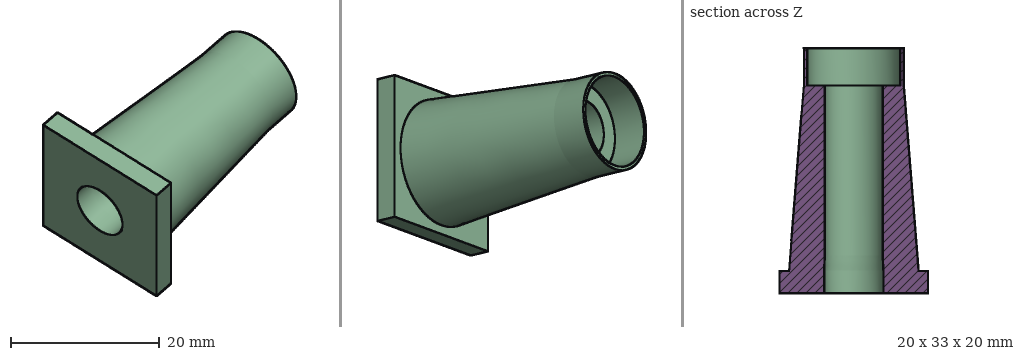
import cadquery as cq

total_length = 33.0
flange_side = 20.0
flange_thickness = 3.0
collar_length = 5.0
collar_diameter = 13.5
taper_base_diameter = 17.5

entry_diameter = 7.95
throat_diameter = 7.75
socket_diameter = 12.5
throat_depth = 5.0

front_y = -total_length / 2
back_y = total_length / 2
taper_start_y = front_y + flange_thickness
taper_end_y = back_y - collar_length


def revolve_about_y(points):
    """Solid of revolution from (radius, y) points; the axis closes the outline."""
    return cq.Workplane("XY").polyline(points).close().revolve(360, (0, 0, 0), (0, 1, 0))


def tapered_sleeve():
    """Cone from the flange to the collar, with the straight collar behind it."""
    return revolve_about_y([
        (0, taper_start_y),
        (taper_base_diameter / 2, taper_start_y),
        (collar_diameter / 2, taper_end_y),
        (collar_diameter / 2, back_y),
        (0, back_y),
    ])


def passage():
    """Open passage through the whole part, ending in a wide socket inside the collar."""
    throat_y = front_y + throat_depth
    return revolve_about_y([
        (0, front_y),
        (entry_diameter / 2, front_y),
        (entry_diameter / 2, taper_start_y),
        (throat_diameter / 2, throat_y),
        (throat_diameter / 2, taper_end_y),
        (socket_diameter / 2, taper_end_y),
        (socket_diameter / 2, back_y),
        (0, back_y),
    ])


flange_plane = cq.Workplane("XZ", origin=(0, front_y, 0))
flange = flange_plane.rect(flange_side, flange_side).extrude(-flange_thickness)

result = flange.union(tapered_sleeve()).cut(passage())